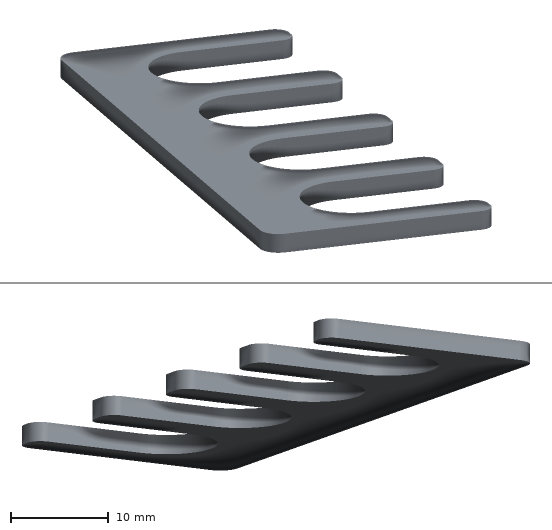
import cadquery as cq

length = 63.0
width = 25.0
thickness = 2.0
base_corner_radius = 2.0

slot_count = 4
slot_pitch = 15.0
slot_width = 10.5
slot_depth = 17.75
finger_tip_radius = 1.5


def make_plate():
    """Flat plate with its two base corners rounded."""
    plate = cq.Workplane("XY").box(length, width, thickness)
    return plate.edges("|Z and <Y").fillet(base_corner_radius)


def make_slot(center_x):
    """Slot open at the +Y edge, ending in a half circle."""
    slot_radius = slot_width / 2
    open_y = width / 2
    arc_center_y = open_y - slot_depth + slot_radius
    return (
        cq.Workplane("XY")
        .workplane(offset=-thickness / 2)
        .moveTo(center_x - slot_radius, open_y)
        .lineTo(center_x - slot_radius, arc_center_y)
        .threePointArc(
            (center_x, open_y - slot_depth),
            (center_x + slot_radius, arc_center_y),
        )
        .lineTo(center_x + slot_radius, open_y)
        .close()
        .extrude(thickness)
    )


result = make_plate()
for index in range(slot_count):
    slot_x = (index - (slot_count - 1) / 2) * slot_pitch
    result = result.cut(make_slot(slot_x))

result = result.faces(">Y").edges("|Z").fillet(finger_tip_radius)